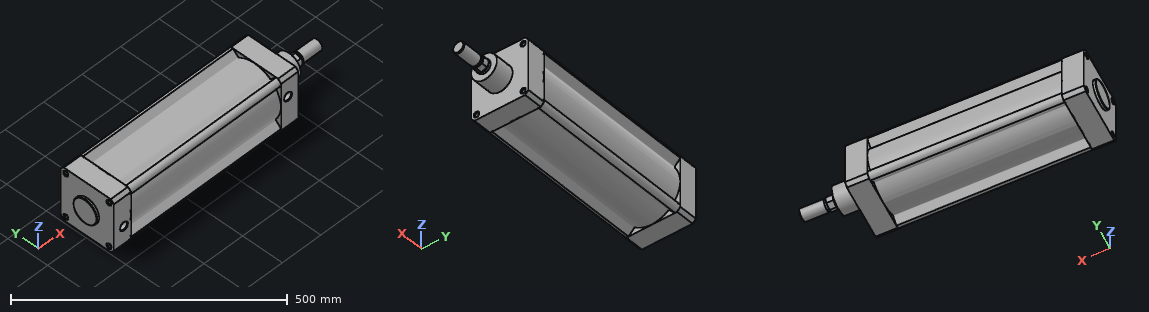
import cadquery as cq
import math


TOTAL_LENGTH = 605.0
COLLAR_LENGTH = 6.0
CAP_LENGTH = 45.0
BARREL_LENGTH = 390.0
BOSS_LENGTH = 45.0
REAR_CAP_X = COLLAR_LENGTH
BARREL_X = REAR_CAP_X + CAP_LENGTH
FRONT_CAP_X = BARREL_X + BARREL_LENGTH
BOSS_X = FRONT_CAP_X + CAP_LENGTH
ROD_X = BOSS_X + BOSS_LENGTH

CAP_WIDTH = 134.0
CAP_CORNER_DIAMETER = 178.5
BOSS_DIAMETER = 60.0
COLLAR_CHAMFER = 1.0
PORT_DIAMETER = 18.0
PORT_CHAMFER = 1.0
PORT_DEPTH = 24.0
PORT_SHIFT = 4.0
PORT_HEIGHT = 14.5
BOLT_OFFSET = 54.5
BOLT_HOLE_DIAMETER = 9.0
BOLT_HOLE_CHAMFER = 2.0
BOLT_HOLE_DEPTH = 12.0

TUBE_RADIUS = 66.0
QUARTERS = 4
RIDGE_HALF_WIDTH = 8.5
RIDGE_RISE = 0.4
RAIL_RADIUS = 13.0
RAIL_ROOT_RADIUS = 2.0

ROD_DIAMETER = 31.0
ROD_END_LENGTH = 5.5
ROD_END_CHAMFER = 0.5
SHANK_LENGTH = 14.5
ACROSS_FLATS = 26.0
FLAT_ANGLE = 20.5
RELIEF_DIAMETER = 24.0
RELIEF_LENGTH = 4.0
THREAD_DIAMETER = 27.0
THREAD_CHAMFER = 2.0


def bar(x_start, length, diameter):
    """A round bar on the X axis."""
    return cq.Workplane("YZ", origin=(x_start, 0, 0)).circle(diameter / 2).extrude(length)


def chamfered_hole(diameter, chamfer, depth):
    """Cutter for a blind hole that opens at the origin and runs along +Z."""
    radius = diameter / 2
    return (
        cq.Workplane("XZ")
        .polyline([(0, 0), (radius + chamfer, 0), (radius, chamfer), (radius, depth), (0, depth)])
        .close()
        .revolve(360, (0, 0, 0), (0, 1, 0))
    )


def make_cap(x_start, port_x, port_z):
    """Square end cap with turned corners and one port in its -Y side."""
    block = cq.Workplane("YZ", origin=(x_start, 0, 0)).rect(CAP_WIDTH, CAP_WIDTH).extrude(CAP_LENGTH)
    cap = block.intersect(bar(x_start, CAP_LENGTH, CAP_CORNER_DIAMETER))
    port = (
        chamfered_hole(PORT_DIAMETER, PORT_CHAMFER, PORT_DEPTH)
        .rotate((0, 0, 0), (1, 0, 0), -90)
        .translate((port_x, -CAP_WIDTH / 2, port_z))
    )
    return cap.cut(port)


def cut_bolt_holes(cap, face_x, direction):
    """Cut four corner holes into the outer face; direction is +1 for +X and -1 for -X."""
    hole = chamfered_hole(BOLT_HOLE_DIAMETER, BOLT_HOLE_CHAMFER, BOLT_HOLE_DEPTH)
    hole = hole.rotate((0, 0, 0), (0, 1, 0), 90 * direction)
    for y_side in (1, -1):
        for z_side in (1, -1):
            cap = cap.cut(hole.translate((face_x, y_side * BOLT_OFFSET, z_side * BOLT_OFFSET)))
    return cap


def make_rear_cap():
    port_x = REAR_CAP_X + CAP_LENGTH / 2 + PORT_SHIFT
    cap = make_cap(REAR_CAP_X, port_x, -PORT_HEIGHT)
    collar = bar(0, COLLAR_LENGTH, BOSS_DIAMETER).faces("<X").chamfer(COLLAR_CHAMFER)
    return cut_bolt_holes(cap.union(collar), REAR_CAP_X, 1)


def make_front_cap():
    port_x = FRONT_CAP_X + CAP_LENGTH / 2 - PORT_SHIFT
    cap = make_cap(FRONT_CAP_X, port_x, PORT_HEIGHT)
    boss = bar(BOSS_X, BOSS_LENGTH, BOSS_DIAMETER)
    return cut_bolt_holes(cap.union(boss), BOSS_X, -1)


def make_barrel():
    """Round barrel with a low ridge along each side and a rail along each corner."""
    outer = CAP_WIDTH / 2
    crest_radius = TUBE_RADIUS + RIDGE_RISE
    rail_center = outer - RAIL_RADIUS
    right_angle = 2 * math.pi / QUARTERS
    diagonal = right_angle / 2
    ridge_angle = math.asin(RIDGE_HALF_WIDTH / TUBE_RADIUS)
    rail_half_width = RAIL_RADIUS / math.sqrt(2)
    root_angle = diagonal - math.asin(rail_half_width / TUBE_RADIUS)

    rail_edge_radius = math.hypot(outer, rail_center)
    rail_edge_angle = math.atan2(rail_center, outer)
    rail_top_radius = rail_center * math.sqrt(2) + RAIL_RADIUS
    arc_middle = (ridge_angle + root_angle) / 2

    def at(radius, angle, quarter):
        """Point in the YZ section, with its angle counted from the start of the quarter."""
        full_angle = angle + quarter * right_angle
        return (radius * math.cos(full_angle), radius * math.sin(full_angle))

    section = cq.Workplane("YZ", origin=(BARREL_X, 0, 0)).moveTo(crest_radius, 0)
    for quarter in range(QUARTERS):
        section = (
            section
            .lineTo(*at(TUBE_RADIUS, ridge_angle, quarter))
            .threePointArc(at(TUBE_RADIUS, arc_middle, quarter), at(TUBE_RADIUS, root_angle, quarter))
            .lineTo(*at(rail_edge_radius, rail_edge_angle, quarter))
            .threePointArc(
                at(rail_top_radius, diagonal, quarter),
                at(rail_edge_radius, right_angle - rail_edge_angle, quarter),
            )
            .lineTo(*at(TUBE_RADIUS, right_angle - root_angle, quarter))
            .threePointArc(
                at(TUBE_RADIUS, right_angle - arc_middle, quarter),
                at(TUBE_RADIUS, right_angle - ridge_angle, quarter),
            )
        )
        if quarter < QUARTERS - 1:
            section = section.lineTo(*at(crest_radius, right_angle, quarter))
    barrel = section.close().extrude(BARREL_LENGTH)

    roots = []
    for quarter in range(QUARTERS):
        for angle in (root_angle, right_angle - root_angle):
            root_middle = (BARREL_X + BARREL_LENGTH / 2, *at(TUBE_RADIUS, angle, quarter))
            roots.append(barrel.edges(cq.selectors.NearestToPointSelector(root_middle)).val())
    return barrel.newObject(roots).fillet(RAIL_ROOT_RADIUS)


def make_rod():
    """Exposed end of the piston rod: wrench flats, thread relief and thread."""
    shank_x = ROD_X + ROD_END_LENGTH
    relief_x = shank_x + SHANK_LENGTH
    thread_x = relief_x + RELIEF_LENGTH
    rod_end = bar(ROD_X, ROD_END_LENGTH, ROD_DIAMETER).faces(">X").chamfer(ROD_END_CHAMFER)
    shank = bar(shank_x, SHANK_LENGTH, ROD_DIAMETER - 2 * ROD_END_CHAMFER)
    flats = cq.Workplane("YZ", origin=(shank_x, 0, 0)).rect(ROD_DIAMETER, ACROSS_FLATS).extrude(SHANK_LENGTH)
    shank = shank.intersect(flats.rotate((0, 0, 0), (1, 0, 0), FLAT_ANGLE))
    relief = bar(relief_x, RELIEF_LENGTH, RELIEF_DIAMETER)
    thread = bar(thread_x, TOTAL_LENGTH - thread_x, THREAD_DIAMETER).faces(">X").chamfer(THREAD_CHAMFER)
    return rod_end.union(shank).union(relief).union(thread)


rear_cap = make_rear_cap()
barrel = make_barrel()
front_cap = make_front_cap()
piston_rod = make_rod()

result = cq.Compound.makeCompound([rear_cap.val(), barrel.val(), front_cap.val(), piston_rod.val()])